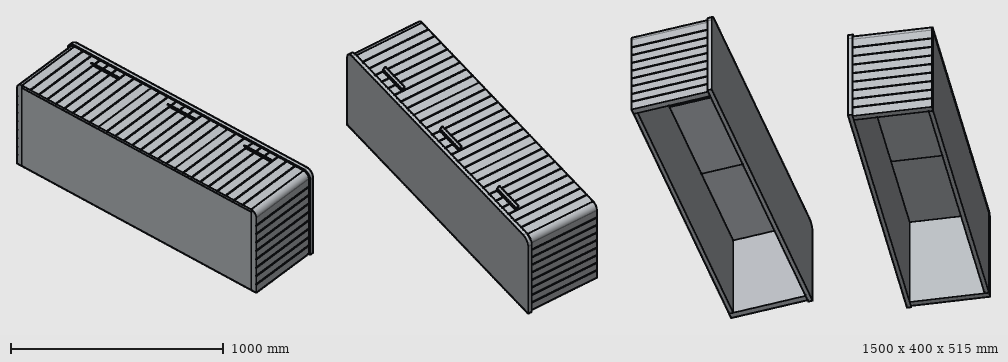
import cadquery as cq
import math

width = 1500.0
depth = 400.0
back_height = 500.0
total_height = 515.0

back_thickness = 21.0
side_reveal = 10.0
top_reveal = 9.0

cabinet_half_width = width / 2 - side_reveal
cabinet_height = back_height - top_reveal
cabinet_depth = depth - back_thickness
side_thickness = 32.0
corner_radius = side_thickness
back_corner_radius = corner_radius + side_reveal
half_opening = cabinet_half_width - side_thickness
front_thickness = back_thickness

lid_count = 3
lid_thickness = 15.0
lid_edge_radius = 2.0
lid_bottom = cabinet_height - lid_thickness
lid_width = 2 * half_opening / lid_count
lid_centers = [(i - (lid_count - 1) / 2) * lid_width for i in range(lid_count)]

planks_per_lid = 9
planks_per_side = 9
groove_half_width = 2.0
groove_depth = groove_half_width
lid_plank = lid_width / planks_per_lid
side_plank = (cabinet_height - corner_radius) / planks_per_side

handle_length = 159.0
handle_thickness = 5.0
handle_rear_y = depth - 68.0
handle_foot_height = 10.0
flange_lean = math.radians(45)


def make_box(x_min, x_max, y_max, z_min, z_max):
    """Box whose front face lies on the front of the cabinet."""
    size = (x_max - x_min, y_max, z_max - z_min)
    return cq.Workplane("XY").box(*size, centered=False).translate((x_min, 0, z_min))


def extrude_along_depth(points):
    """Prism over the full cabinet depth from an outline in X and Z."""
    return cq.Workplane("XZ").polyline(points).close().extrude(-cabinet_depth)


def make_back_panel():
    """Plate with rounded upper corners."""
    plate = make_box(-width / 2, width / 2, back_thickness, 0, back_height)
    plate = plate.edges("|Y and >Z").fillet(back_corner_radius)
    return plate.translate((0, cabinet_depth, 0))


def make_front_panel():
    """Plain plate between the side walls, below the lids."""
    return make_box(-half_opening, half_opening, front_thickness, 0, lid_bottom)


def make_left_side():
    """Side wall with a rounded outer top edge and a groove between each two planks."""
    outer_x = -cabinet_half_width
    inner_x = outer_x + side_thickness
    wall = (
        cq.Workplane("XZ")
        .moveTo(outer_x, 0)
        .lineTo(outer_x, cabinet_height - corner_radius)
        .radiusArc((inner_x, cabinet_height), corner_radius)
        .lineTo(inner_x, 0)
        .close()
        .extrude(-cabinet_depth)
    )
    for i in range(1, planks_per_side):
        z = i * side_plank
        groove = extrude_along_depth([
            (outer_x, z - groove_half_width),
            (outer_x + groove_depth, z),
            (outer_x, z + groove_half_width),
        ])
        wall = wall.cut(groove)
    return wall


def make_lid(index):
    """Lid with grooves in its top and rounded edges where it meets another lid."""
    left = lid_centers[index] - lid_width / 2
    right = left + lid_width
    lid = make_box(left, right, cabinet_depth, lid_bottom, cabinet_height)
    if index > 0:
        lid = lid.faces("<X").edges(">Z or <Y").fillet(lid_edge_radius)
    if index < lid_count - 1:
        lid = lid.faces(">X").edges(">Z or <Y").fillet(lid_edge_radius)
    for i in range(1, planks_per_lid):
        x = left + i * lid_plank
        groove = extrude_along_depth([
            (x - groove_half_width, cabinet_height),
            (x, cabinet_height - groove_depth),
            (x + groove_half_width, cabinet_height),
        ])
        lid = lid.cut(groove)
    return lid


def make_handle(center_x):
    """Strip bent along its length, standing on a lid and centred across it."""
    bend_rear_z = cabinet_height + handle_foot_height
    bend_front_z = bend_rear_z - handle_thickness * math.tan(flange_lean / 2)
    front_y = handle_rear_y - handle_thickness
    reach = (total_height - bend_rear_z) * math.tan(flange_lean)
    tip_y = handle_rear_y - reach
    strip = (
        cq.Workplane("YZ")
        .moveTo(handle_rear_y, cabinet_height)
        .lineTo(handle_rear_y, bend_rear_z)
        .lineTo(tip_y, total_height)
        .lineTo(
            tip_y - handle_thickness * math.cos(flange_lean),
            total_height - handle_thickness * math.sin(flange_lean),
        )
        .lineTo(front_y, bend_front_z)
        .lineTo(front_y, cabinet_height)
        .close()
        .extrude(handle_length)
    )
    return strip.translate((center_x - handle_length / 2, 0, 0))


back_panel = make_back_panel()
front_panel = make_front_panel()
left_side = make_left_side()
right_side = left_side.mirror("YZ")
lids = [make_lid(i) for i in range(lid_count)]
handles = [make_handle(x) for x in lid_centers]

result = cq.Compound.makeCompound([
    back_panel.val(),
    front_panel.val(),
    left_side.val(),
    right_side.val(),
    *[lid.val() for lid in lids],
    *[handle.val() for handle in handles],
])